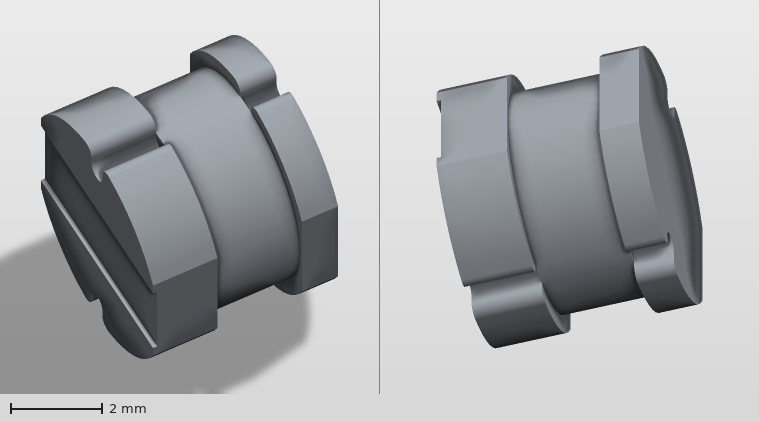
import cadquery as cq
import math

height = 5.7
width = 5.2
length = 4.6
front_thickness = 1.6
back_thickness = 0.9
post_diameter = 5.0

notch_width = 0.5
notch_depth = 0.7
notch_radius = notch_width / 2
lip_radius = notch_width / 2

groove_width = 2.0
groove_depth = 0.1

front_y = -length / 2
back_y = length / 2

lip_center_x = notch_width / 2 + lip_radius
lip_center_z = height / 2 - lip_radius
lip_center_distance = math.hypot(lip_center_x, lip_center_z)
flange_radius = lip_center_distance + lip_radius

half_width = width / 2
flat_end_z = math.sqrt(flange_radius**2 - half_width**2)
lip_angle = math.atan2(lip_center_z, lip_center_x)
flat_angle = math.atan2(flat_end_z, half_width)
notch_floor_z = height / 2 - notch_depth
notch_center_z = notch_floor_z + notch_radius


def polar(radius, angle, center=(0, 0)):
    """Point at a radius and angle (radians) from a center."""
    return (center[0] + radius * math.cos(angle), center[1] + radius * math.sin(angle))


def flange(start_y, thickness):
    """Notched flange that starts at start_y and extends toward +Y."""
    lip_center = (lip_center_x, lip_center_z)
    lip_middle_angle = (lip_angle + math.pi) / 2
    quarter = (
        cq.Workplane("XZ", origin=(0, start_y, 0))
        .lineTo(half_width, 0)
        .lineTo(half_width, flat_end_z)
        .threePointArc(
            polar(flange_radius, (flat_angle + lip_angle) / 2),
            polar(flange_radius, lip_angle),
        )
        .threePointArc(
            polar(lip_radius, lip_middle_angle, lip_center),
            (notch_width / 2, lip_center_z),
        )
        .lineTo(notch_width / 2, notch_center_z)
        .threePointArc(
            polar(notch_radius, -math.pi / 4, (0, notch_center_z)),
            (0, notch_floor_z),
        )
        .close()
        .extrude(-thickness)
    )
    half = quarter.union(quarter.mirror("YZ"))
    return half.union(half.mirror("XY")).clean()


def winding_post():
    """Round post between the two flanges."""
    post_length = length - front_thickness - back_thickness
    return (
        cq.Workplane("XZ", origin=(0, front_y + front_thickness, 0))
        .circle(post_diameter / 2)
        .extrude(-post_length)
    )


def front_groove():
    """Cutter for the groove across the front face."""
    return (
        cq.Workplane("XY")
        .box(width, groove_depth, groove_width)
        .translate((0, front_y + groove_depth / 2, 0))
    )


front_flange = flange(front_y, front_thickness).cut(front_groove())
back_flange = flange(back_y - back_thickness, back_thickness)
result = front_flange.union(winding_post()).union(back_flange)